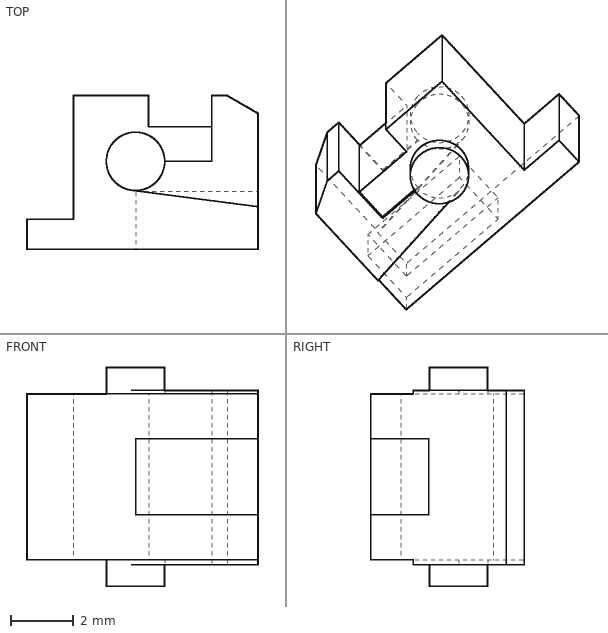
import cadquery as cq
import math

length = 7.45
depth = 4.95
body_height = 5.35

flange_reach = 1.5
flange_thickness = 0.97

notch_left = 3.92
notch_right = 5.95
notch_depth = 1.0

bevel_length = 1.0
bevel_angle = 30
bevel_drop = bevel_length * math.tan(math.radians(bevel_angle))

pin_diameter = 1.88
pin_radius = pin_diameter / 2
pin_x = 3.5
pin_y = 2.83
pin_projection = 0.85

pad_slope_angle = 7.4
top_pad_thickness = 0.11
bottom_pad_thickness = 0.16

slot_left = pin_x
slot_height = 2.45
slot_depth = 1.87


def make_body():
    """Block with a front flange, a rear notch and a bevelled rear corner."""
    return (
        cq.Workplane("XY")
        .moveTo(0, 0)
        .lineTo(length, 0)
        .lineTo(length, depth - bevel_drop)
        .lineTo(length - bevel_length, depth)
        .lineTo(notch_right, depth)
        .lineTo(notch_right, depth - notch_depth)
        .lineTo(notch_left, depth - notch_depth)
        .lineTo(notch_left, depth)
        .lineTo(flange_reach, depth)
        .lineTo(flange_reach, flange_thickness)
        .lineTo(0, flange_thickness)
        .close()
        .extrude(body_height)
    )


def make_pad(base_z, thickness):
    """L-shaped pad whose front edge is a sloping line tangent to the pin."""
    slope = math.radians(pad_slope_angle)
    tangent_x = pin_x - pin_radius * math.sin(slope)
    tangent_y = pin_y - pin_radius * math.cos(slope)
    right_y = tangent_y - (length - tangent_x) * math.tan(slope)
    return (
        cq.Workplane("XY", origin=(0, 0, base_z))
        .moveTo(tangent_x, tangent_y)
        .lineTo(length, right_y)
        .lineTo(length, depth - bevel_drop)
        .lineTo(length - bevel_length, depth)
        .lineTo(notch_right, depth)
        .lineTo(notch_right, pin_y)
        .lineTo(pin_x, pin_y)
        .close()
        .extrude(thickness)
    )


def make_pin():
    """Upright pin standing out equally above and below the body."""
    return (
        cq.Workplane("XY", origin=(pin_x, pin_y, -pin_projection))
        .circle(pin_radius)
        .extrude(body_height + 2 * pin_projection)
    )


def make_slot():
    """Blind rectangular slot, centred in the body's height."""
    slot_bottom = (body_height - slot_height) / 2
    return (
        cq.Workplane("XY", origin=(slot_left, 0, slot_bottom))
        .box(length - slot_left, slot_depth, slot_height, centered=False)
    )


result = (
    make_body()
    .cut(make_slot())
    .union(make_pad(body_height, top_pad_thickness))
    .union(make_pad(-bottom_pad_thickness, bottom_pad_thickness))
    .union(make_pin())
)